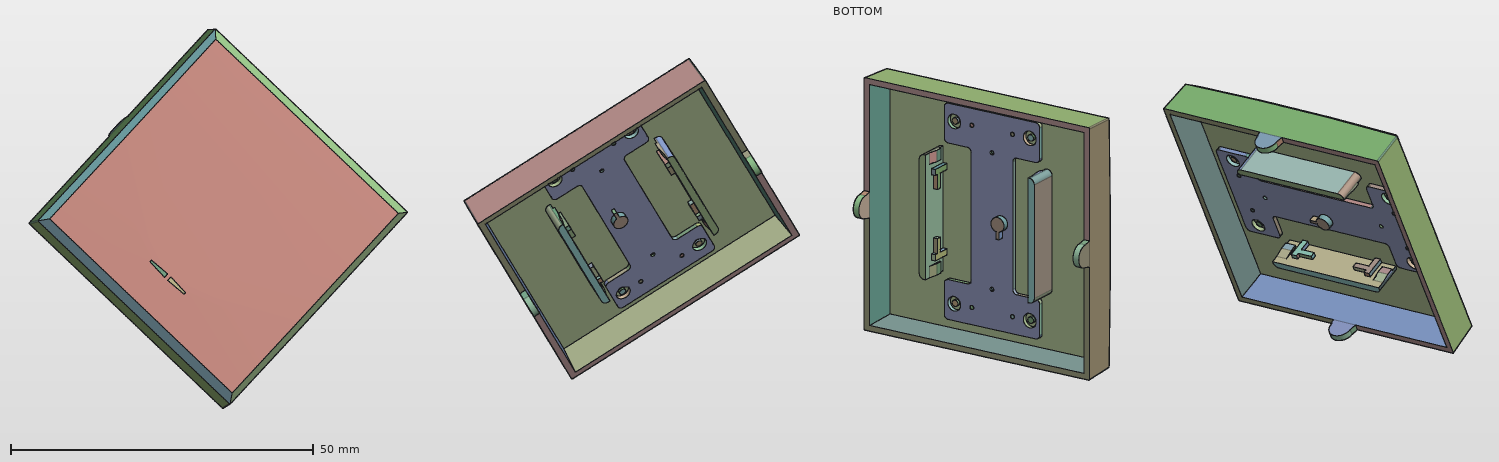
import cadquery as cq
TURN_ABOUT_Y = 33.3
TURN_ABOUT_X = 19.9

RIM_LENGTH = 44.65
RIM_WIDTH = 44.45
OUTER_DRAFT = 2.2
CROWN_TOP = 7.8
CROWN_DROP = 0.4
CHAMFER_HEIGHT = 1.1
CHAMFER_RUN_X = 1.1
CHAMFER_RUN_Y = 1.4
EDGE_ROUND = 0.2

CAVITY_LENGTH = 42.4
CAVITY_WIDTH = 42.4
CAVITY_DRAFT = 5.4
FLOOR_Z = 5.35

TAB_ROOT_WIDTH = 4.65
TAB_ROUND = 2.0
TAB_LENGTH = 3.25
RIM_WALL = (RIM_LENGTH - CAVITY_LENGTH) / 2

CLIP_INNER_X = 10.15
CLIP_THICKNESS = 1.25
CLIP_LENGTH = 21.95
CLIP_CORNER = 1.0

HOOK_PROUD = 0.75
LEG_Y = 6.95
LEG_WIDTH = 1.1
LEG_END_Z = 1.8
FOOT_LENGTH = 2.65
FOOT_BOTTOM_Z = 2.4
FOOT_HEIGHT = 0.95

CATCH_PROUD = 0.3
CATCH_WIDTH = 2.0
CATCH_LOW_Z = 1.3
CATCH_RIDGE_Z = 3.0
CATCH_TOP_Z = 4.3

PLATE_THICKNESS = 0.75
PLATE_BACK_Z = FLOOR_Z - PLATE_THICKNESS
PAD_LENGTH = 18.9
PAD_INNER_Y = 12.0
PAD_OUTER_Y = 19.05
BRIDGE_WIDTH = 8.25
PLATE_CORNER = 0.75

POST_X = 7.5
POST_Y = 16.05
POST_DIAMETER = 1.15
POST_HEIGHT = 0.5
POST_HOLE_DIAMETER = 2.55

DIMPLE_X = 4.0
DIMPLE_DIAMETER = 0.7
DIMPLE_DEPTH = 0.1
PIT_DEPTH = 0.4

INLET_X = 1.8
INLET_RADIUS = 1.3
INLET_HEIGHT = 1.1
INLET_BAR_WIDTH = 0.55
INLET_BAR_END_Y = 2.6

ARROW_Y = -14.0
ARROW_START = 0.35
ARROW_END = 3.9
ARROW_WIDE = 0.75
ARROW_NARROW = 0.35

SIDES = (-1, 1)
ABOVE_FACE = 10.3


def block(x_range, y_range, z_range):
    """Box between the given pairs of limits."""
    sizes = [high - low for low, high in (x_range, y_range, z_range)]
    corner = (x_range[0], y_range[0], z_range[0])
    return cq.Workplane("XY").box(*sizes, centered=False).translate(corner)


def crown_limit():
    """Space below the crowned face, an arc in the YZ plane swept along X."""
    half = RIM_WIDTH / 2
    edge_z = CROWN_TOP - CROWN_DROP
    return (
        cq.Workplane("YZ")
        .moveTo(-half, 0)
        .lineTo(half, 0)
        .lineTo(half, edge_z)
        .threePointArc((0, CROWN_TOP), (-half, edge_z))
        .close()
        .extrude(RIM_LENGTH / 2, both=True)
    )


def make_shell():
    """Drafted, crowned and bevelled cap, hollowed from the rim side."""
    outer = cq.Workplane("XY").rect(RIM_LENGTH, RIM_WIDTH).extrude(ABOVE_FACE, taper=OUTER_DRAFT)
    outer = outer.intersect(crown_limit())
    outer = outer.faces(">Z").edges("|X").chamfer(CHAMFER_HEIGHT, CHAMFER_RUN_Y)
    outer = outer.faces(">Z").edges(">X or <X").chamfer(CHAMFER_HEIGHT, CHAMFER_RUN_X)
    outer = outer.edges("not #Z").edges("%LINE").fillet(EDGE_ROUND)
    cavity = cq.Workplane("XY").rect(CAVITY_LENGTH, CAVITY_WIDTH).extrude(FLOOR_Z, taper=CAVITY_DRAFT)
    return outer.cut(cavity)


def make_tab(side):
    """Tongue with a round tip that continues the rim wall at one X end."""
    root = TAB_ROOT_WIDTH / 2
    centre_z = TAB_ROUND - TAB_LENGTH
    start_x = RIM_LENGTH / 2 - RIM_WALL if side > 0 else -RIM_LENGTH / 2
    return (
        cq.Workplane("YZ")
        .workplane(offset=start_x)
        .moveTo(-root, 0)
        .lineTo(-TAB_ROUND, centre_z)
        .threePointArc((0, -TAB_LENGTH), (TAB_ROUND, centre_z))
        .lineTo(root, 0)
        .close()
        .extrude(RIM_WALL)
    )


def make_hook(side):
    """L-shaped hook on the +X clip wall; its foot points to the middle."""
    x_range = (CLIP_INNER_X - HOOK_PROUD, CLIP_INNER_X)
    leg = block(x_range, (LEG_Y, LEG_Y + LEG_WIDTH), (LEG_END_Z, FLOOR_Z))
    foot = block(x_range, (LEG_Y - FOOT_LENGTH, LEG_Y), (FOOT_BOTTOM_Z, FOOT_BOTTOM_Z + FOOT_HEIGHT))
    hook = leg.union(foot)
    return hook if side > 0 else hook.mirror("XZ")


def make_catch(side):
    """Wedge catch at one end of the +X clip wall."""
    ridge_x = CLIP_INNER_X - CATCH_PROUD
    catch = (
        cq.Workplane("XZ")
        .polyline(
            [
                (CLIP_INNER_X, CATCH_LOW_Z),
                (ridge_x, CATCH_RIDGE_Z),
                (ridge_x, CATCH_TOP_Z),
                (CLIP_INNER_X, CATCH_TOP_Z),
            ]
        )
        .close()
        .extrude(-CATCH_WIDTH)
        .translate((0, CLIP_LENGTH / 2 - CATCH_WIDTH, 0))
    )
    return catch if side > 0 else catch.mirror("XZ")


def make_clip_wall():
    """Wall at +X, rounded at its outer corners, with its hooks and catches."""
    half = CLIP_LENGTH / 2
    wall = block((CLIP_INNER_X, CLIP_INNER_X + CLIP_THICKNESS), (-half, half), (0, FLOOR_Z))
    wall = wall.edges("|Z and >X").fillet(CLIP_CORNER)
    for side in SIDES:
        wall = wall.union(make_hook(side)).union(make_catch(side))
    return wall


def post_centres():
    """Centres of the four posts."""
    return [(x * POST_X, y * POST_Y) for x in SIDES for y in SIDES]


def make_arrows(bottom_z):
    """Two tapering bars that point away from each other, cut off by the crowned face."""
    arrows = cq.Workplane("XY")
    for side in SIDES:
        arrow = (
            cq.Workplane("XY")
            .workplane(offset=bottom_z)
            .polyline(
                [
                    (side * ARROW_START, ARROW_Y - ARROW_WIDE / 2),
                    (side * ARROW_END, ARROW_Y - ARROW_NARROW / 2),
                    (side * ARROW_END, ARROW_Y + ARROW_NARROW / 2),
                    (side * ARROW_START, ARROW_Y + ARROW_WIDE / 2),
                ]
            )
            .close()
            .extrude(ABOVE_FACE - bottom_z)
        )
        arrows = arrows.add(arrow)
    return arrows.combine().intersect(crown_limit())


def make_cover():
    """Shell with its tabs, clip walls and posts, pierced by the arrow windows."""
    cover = make_shell()
    for side in SIDES:
        cover = cover.union(make_tab(side))
    clip_wall = make_clip_wall()
    cover = cover.union(clip_wall).union(clip_wall.mirror("YZ"))
    posts = (
        cq.Workplane("XY")
        .workplane(offset=FLOOR_Z - POST_HEIGHT)
        .pushPoints(post_centres())
        .circle(POST_DIAMETER / 2)
        .extrude(POST_HEIGHT)
    )
    return cover.union(posts).cut(make_arrows(FLOOR_Z))


def make_inlet():
    """Round boss with a narrow bar beside it, standing on the back of the plate."""
    base = cq.Workplane("XY").workplane(offset=PLATE_BACK_Z - INLET_HEIGHT)
    boss = base.center(INLET_X, 0).circle(INLET_RADIUS).extrude(INLET_HEIGHT)
    bar = block(
        (INLET_X - INLET_BAR_WIDTH / 2, INLET_X + INLET_BAR_WIDTH / 2),
        (0, INLET_BAR_END_Y),
        (PLATE_BACK_Z - INLET_HEIGHT, PLATE_BACK_Z),
    )
    return boss.union(bar)


def make_light_plate():
    """Plate on the cover floor that carries the inlet and the two arrows."""
    half_pad = PAD_LENGTH / 2
    half_bridge = BRIDGE_WIDTH / 2
    z_range = (PLATE_BACK_Z, FLOOR_Z)
    plate = block((-half_bridge, half_bridge), (-PAD_OUTER_Y, PAD_OUTER_Y), z_range)
    for y_range in ((-PAD_OUTER_Y, -PAD_INNER_Y), (PAD_INNER_Y, PAD_OUTER_Y)):
        plate = plate.union(block((-half_pad, half_pad), y_range, z_range))
    plate = plate.clean().edges("|Z").fillet(PLATE_CORNER)

    back = cq.Workplane("XY").workplane(offset=PLATE_BACK_Z)
    post_holes = back.pushPoints(post_centres()).circle(POST_HOLE_DIAMETER / 2).extrude(PLATE_THICKNESS)
    dimple_centres = [(x * DIMPLE_X, y * POST_Y) for x in SIDES for y in SIDES]
    dimples = back.pushPoints(dimple_centres).circle(DIMPLE_DIAMETER / 2).extrude(DIMPLE_DEPTH)
    pit_centres = [(0, y * PAD_INNER_Y) for y in SIDES]
    pits = back.pushPoints(pit_centres).circle(DIMPLE_DIAMETER / 2).extrude(PIT_DEPTH)
    plate = plate.cut(post_holes).cut(dimples).cut(pits)
    return plate.union(make_inlet()).union(make_arrows(FLOOR_Z))


def place(body):
    """Turns a body from the local frame to its final attitude."""
    turned = body.rotate((0, 0, 0), (0, 1, 0), TURN_ABOUT_Y)
    return turned.rotate((0, 0, 0), (1, 0, 0), TURN_ABOUT_X)


cover = place(make_cover())
light_plate = place(make_light_plate())

result = cq.Compound.makeCompound([cover.val(), light_plate.val()])